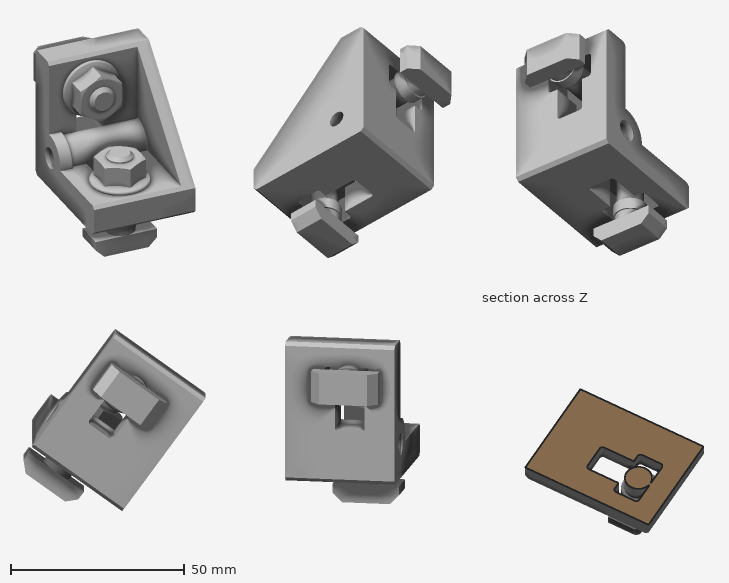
import cadquery as cq
import math


overall_size = 52.5

leg_length = 41.1
leg_thickness = 9.5
bracket_width = 32.15
outer_chamfer = 1.1
leg_tip_flat = 8.5
web_thickness = 4.1

boss_center = 10.1
boss_radius = 7.5
boss_rim_width = web_thickness
boss_fillet = 0.5
boss_waist_radius = boss_radius - 2 * boss_fillet

hole_diameter = 5.0
hole_mouth_diameter = 6.55

bolt_distance = 30.25
bolt_y = 13.05
slot_width = 8.7
slot_start = 15.45
window_width = 15.0
window_length = 8.0
opening_fillet = 0.9

head_overhang = overall_size - leg_length
head_thickness = 5.45
head_length = 19.55
head_width = 9.2
head_chamfer = 2.75
neck_diameter = head_width
collar_diameter = 10.05
collar_length = 3.6
shank_diameter = 8.0
shank_above_leg = 9.55
shank_end = leg_thickness + shank_above_leg
shank_chamfer = 1.0

nut_height = 8.1
nut_across_flats = 13.1
nut_across_corners = nut_across_flats / math.cos(math.pi / 6)
nut_crown_diameter = 12.95
nut_crown_angle = 18
flange_diameter = 17.95
flange_rim_height = 1.4
flange_cone_slope = 0.42


def make_bracket():
    """L-shaped legs, a triangular web on the +Y side and the boss in the corner."""
    outline = [
        (outer_chamfer, 0),
        (leg_length - outer_chamfer, 0),
        (leg_length, outer_chamfer),
        (leg_length, leg_tip_flat),
        (leg_tip_flat, leg_length),
        (outer_chamfer, leg_length),
        (0, leg_length - outer_chamfer),
        (0, outer_chamfer),
    ]
    body = cq.Workplane("XZ").polyline(outline).close().extrude(-bracket_width)
    inner_space = (
        cq.Workplane("XZ")
        .rect(leg_length, leg_length, centered=False)
        .extrude(web_thickness - bracket_width)
        .translate((leg_thickness, 0, leg_thickness))
    )
    return body.cut(inner_space.cut(make_boss()))


def make_boss():
    """Revolved boss: full-radius rim, then a waist that flares into the web."""
    rim_inner = boss_rim_width
    web_inner = bracket_width - web_thickness
    bend = boss_fillet * math.sqrt(0.5)
    waist_foot = boss_waist_radius + boss_fillet
    profile = (
        cq.Workplane("XY")
        .lineTo(boss_radius, 0)
        .lineTo(boss_radius, rim_inner - boss_fillet)
        .threePointArc(
            (waist_foot + bend, rim_inner - boss_fillet + bend),
            (waist_foot, rim_inner),
        )
        .threePointArc(
            (waist_foot - bend, rim_inner + boss_fillet - bend),
            (boss_waist_radius, rim_inner + boss_fillet),
        )
        .lineTo(boss_waist_radius, web_inner - boss_fillet)
        .threePointArc(
            (waist_foot - bend, web_inner - boss_fillet + bend),
            (waist_foot, web_inner),
        )
        .lineTo(0, web_inner)
        .close()
    )
    boss = profile.revolve(360, (0, 0, 0), (0, 1, 0))
    return boss.translate((boss_center, 0, boss_center))


def make_cross_hole():
    """Hole through the boss and web, countersunk at 45 degrees on the -Y face."""
    mouth_depth = (hole_mouth_diameter - hole_diameter) / 2
    hole = (
        cq.Workplane("XY")
        .lineTo(hole_mouth_diameter / 2, 0)
        .lineTo(hole_diameter / 2, mouth_depth)
        .lineTo(hole_diameter / 2, bracket_width)
        .lineTo(0, bracket_width)
        .close()
        .revolve(360, (0, 0, 0), (0, 1, 0))
    )
    return hole.translate((boss_center, 0, boss_center))


def make_bolt_opening():
    """Slot through the lying leg that ends in a wider window around the bolt."""
    window = (
        cq.Workplane("XY")
        .rect(window_length, window_width)
        .extrude(leg_thickness)
        .edges("|Z")
        .fillet(opening_fillet)
        .translate((bolt_distance, bolt_y, 0))
    )
    slot_length = bolt_distance - slot_start
    slot = (
        cq.Workplane("XY")
        .rect(slot_length, slot_width)
        .extrude(leg_thickness)
        .edges("|Z and <X")
        .fillet(opening_fillet)
        .translate((slot_start + slot_length / 2, bolt_y, 0))
    )
    return window.union(slot)


def make_bolt():
    """T-head bolt with its axis on Z and the outer face of the leg at Z = 0."""
    head = (
        cq.Workplane("XY")
        .box(head_width, head_length, head_thickness, centered=(True, True, False))
        .faces("<Z")
        .edges("|X")
        .chamfer(head_chamfer)
        .translate((0, 0, -head_overhang))
    )
    neck = cq.Workplane("XY").circle(neck_diameter / 2).extrude(head_thickness - head_overhang)
    collar = cq.Workplane("XY").circle(collar_diameter / 2).extrude(-collar_length)
    shank = (
        cq.Workplane("XY")
        .circle(shank_diameter / 2)
        .extrude(shank_end)
        .faces(">Z")
        .chamfer(shank_chamfer)
    )
    return head.union(neck).union(collar).union(shank)


def make_nut():
    """Hexagon nut with a crowned top and a rounded, conical flange, seated at Z = 0."""
    corner_radius = nut_across_corners / 2
    crown_radius = nut_crown_diameter / 2
    crown_drop = (corner_radius - crown_radius) * math.tan(math.radians(nut_crown_angle))
    crown_envelope = (
        cq.Workplane("XZ")
        .lineTo(corner_radius, 0)
        .lineTo(corner_radius, nut_height - crown_drop)
        .lineTo(crown_radius, nut_height)
        .lineTo(0, nut_height)
        .close()
        .revolve(360, (0, 0, 0), (0, 1, 0))
    )
    hexagon = cq.Workplane("XY").polygon(6, nut_across_corners).extrude(nut_height)

    rim_radius = flange_rim_height / 2
    rim_center = flange_diameter / 2 - rim_radius
    cone_angle = math.atan(flange_cone_slope)
    cone_start = rim_center + rim_radius * math.sin(cone_angle)
    cone_start_height = rim_radius + rim_radius * math.cos(cone_angle)
    cone_end = shank_diameter / 2
    cone_end_height = cone_start_height + (cone_start - cone_end) * flange_cone_slope
    flange = (
        cq.Workplane("XZ")
        .lineTo(rim_center, 0)
        .threePointArc((flange_diameter / 2, rim_radius), (cone_start, cone_start_height))
        .lineTo(cone_end, cone_end_height)
        .lineTo(0, cone_end_height)
        .close()
        .revolve(360, (0, 0, 0), (0, 1, 0))
    )
    return hexagon.intersect(crown_envelope).union(flange)


def swap_legs(feature):
    """Carry a feature of the lying leg over to the standing leg."""
    return feature.rotate((0, bolt_y, 0), (0.5, bolt_y, 0.5), 180)


opening = make_bolt_opening()
bolt_with_nut = make_bolt().union(make_nut().translate((0, 0, leg_thickness)))
fastener = bolt_with_nut.translate((bolt_distance, bolt_y, 0))

result = make_bracket().cut(make_cross_hole())
for leg_opening in (opening, swap_legs(opening)):
    result = result.cut(leg_opening)
for leg_fastener in (fastener, swap_legs(fastener)):
    result = result.union(leg_fastener)